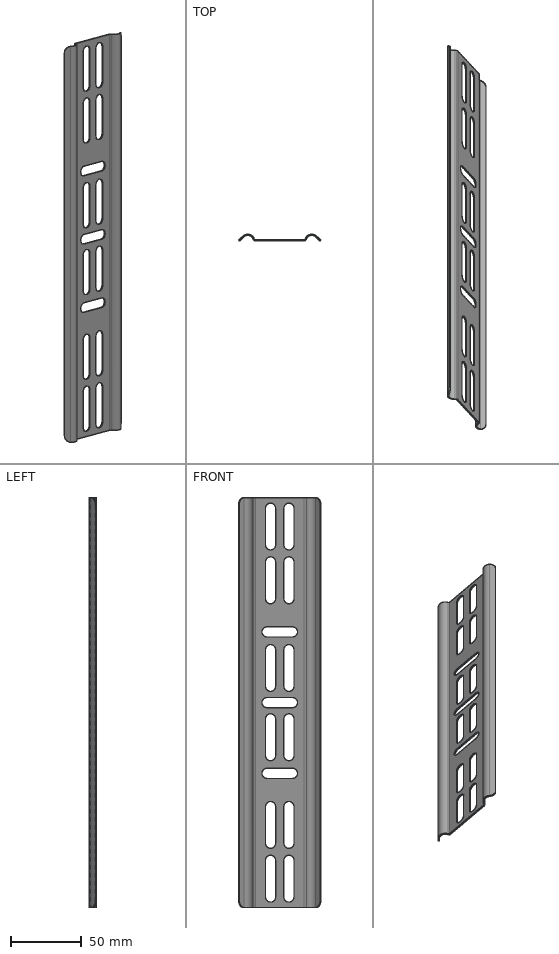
import cadquery as cq
import math

LENGTH = 290.0
WIDTH = 58.37
SHEET = 1.0

CREST_RADIUS = 5.0
BEND_RADIUS = 2.0
FLANK_ANGLE = 43.0
CORNER_RADIUS = 5.0

SLOT_WIDTH = 7.0
LONG_SLOT = 33.0
LONG_SLOT_X = 6.5
LONG_SLOT_HEIGHTS = (24.5, 86.5, 124.5)
CROSS_SLOT = 25.0
CROSS_SLOT_HEIGHTS = (-50.0, 0.0, 50.0)

FRONT_Y = -CREST_RADIUS / 2

SIN_FLANK = math.sin(math.radians(FLANK_ANGLE))
COS_FLANK = math.cos(math.radians(FLANK_ANGLE))
TIP = (WIDTH / 2, FRONT_Y + SHEET * COS_FLANK)

CREST_X = TIP[0] - (CREST_RADIUS - SHEET * COS_FLANK * COS_FLANK) / SIN_FLANK
CENTER_DISTANCE = CREST_RADIUS - SHEET + BEND_RADIUS
CREST_CENTER = (CREST_X, FRONT_Y)
BEND_CENTER = (CREST_X - math.sqrt(CENTER_DISTANCE**2 - BEND_RADIUS**2), FRONT_Y + BEND_RADIUS)

TOUCH_ANGLE = -math.degrees(math.asin(BEND_RADIUS / CENTER_DISTANCE))


def polar(center, radius, angle):
    """Point at an angle in degrees on a circle in the XY plane."""
    angle = math.radians(angle)
    return (center[0] + radius * math.cos(angle), center[1] + radius * math.sin(angle))


def bent_half():
    """The +X half of the strip, as its cross-section extruded along Z."""
    bend_back = BEND_RADIUS - SHEET
    crest_front = CREST_RADIUS - SHEET
    bend_middle = (TOUCH_ANGLE - 90) / 2
    flank_normal = 90 - FLANK_ANGLE
    front_tip = (TIP[0] - SHEET * SIN_FLANK, TIP[1] - SHEET * COS_FLANK)
    return (
        cq.Workplane("XY", origin=(0, 0, -LENGTH / 2))
        .moveTo(0, FRONT_Y)
        .lineTo(*polar(BEND_CENTER, BEND_RADIUS, -90))
        .threePointArc(
            polar(BEND_CENTER, BEND_RADIUS, bend_middle),
            polar(BEND_CENTER, BEND_RADIUS, TOUCH_ANGLE),
        )
        .threePointArc(
            polar(CREST_CENTER, crest_front, 90),
            polar(CREST_CENTER, crest_front, flank_normal),
        )
        .lineTo(*front_tip)
        .lineTo(*TIP)
        .lineTo(*polar(CREST_CENTER, CREST_RADIUS, flank_normal))
        .threePointArc(
            polar(CREST_CENTER, CREST_RADIUS, 90),
            polar(CREST_CENTER, CREST_RADIUS, 180 + TOUCH_ANGLE),
        )
        .threePointArc(
            polar(BEND_CENTER, bend_back, bend_middle),
            polar(BEND_CENTER, bend_back, -90),
        )
        .lineTo(0, FRONT_Y + SHEET)
        .close()
        .extrude(LENGTH)
    )


def corner_envelope():
    """Block square to the flank, ending at its free edge, with the two corners there rounded."""
    return (
        cq.Workplane("XY")
        .box(2 * WIDTH, 2 * WIDTH, LENGTH)
        .edges("|Y and >X")
        .fillet(CORNER_RADIUS)
        .translate((-WIDTH, 0, 0))
        .rotate((0, 0, 0), (0, 0, 1), -FLANK_ANGLE)
        .translate((TIP[0], TIP[1], 0))
    )


def slots(centers, length, angle):
    """Cutters for equal slots at (X, Z) centers, long side at an angle from X."""
    return (
        cq.Workplane("XZ")
        .pushPoints(centers)
        .slot2D(length, SLOT_WIDTH, angle)
        .extrude(CREST_RADIUS, both=True)
    )


half = bent_half().intersect(corner_envelope())
strip = half.union(half.mirror("YZ"))

long_centers = [
    (x, side * height)
    for x in (-LONG_SLOT_X, LONG_SLOT_X)
    for side in (-1, 1)
    for height in LONG_SLOT_HEIGHTS
]
cross_centers = [(0, height) for height in CROSS_SLOT_HEIGHTS]

result = strip.cut(slots(long_centers, LONG_SLOT, 90)).cut(slots(cross_centers, CROSS_SLOT, 0))